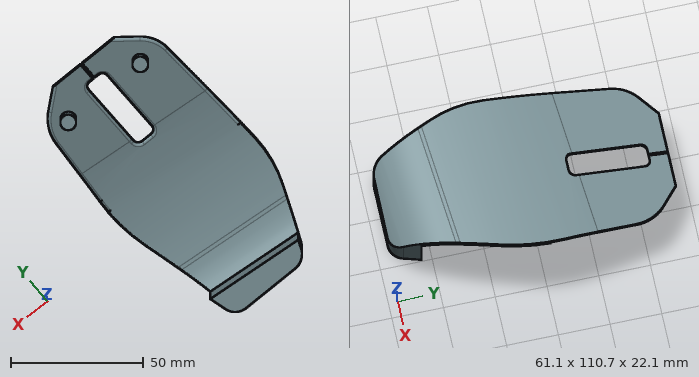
import cadquery as cq
import math

LENGTH = 110.65
HEIGHT = 22.09
SKEW = 5.0

RIGHT_SHOULDER_X = 26.9
OUTLINE_CORNERS = [
    (-16.1, LENGTH, 0),
    (-28.3, 100.6, 14.0),
    (-32.0, 35.0, 50.0),
    (-18.5, 0, 7.0),
    (15.2, 0, 6.5),
    (30.3, 51.6, 69.0),
    (RIGHT_SHOULDER_X, 99.6, 17.0),
    (13.9, LENGTH, 0),
]

THICKNESS = 2.0
REAR_SLOPE = 12.0
REAR_FOLD = 74.6
CROWN_RADIUS = 157.0
FLAT_START = 23.3
FLAT_WIDTH = 1.5
NOSE_RADIUS = 34.8
NOSE_END_SLOPE = 52.0
REAR_OVERRUN = 10.0
FOOT_BACK = 9.7

SLOT_WIDTH = 9.0
SLOT_FRONT = 71.8
SLOT_REAR = 103.1
SLOT_CORNER_RADIUS = 2.4
SLIT_WIDTH = 0.7
PIN_DIAMETER = 6.0
PIN_X = 17.6
PIN_Y = 97.0
PIN_BOTTOM = 5.7

EDGE_RADIUS = 1.2
EDGE_ROUND_START = 56.0


def point_on_arc(centre, radius, slope):
    """Point of an arc where the surface falls rearward by the slope in degrees."""
    angle = math.radians(slope)
    return (centre[0] + radius * math.sin(angle), centre[1] + radius * math.cos(angle))


def outline_prism():
    """Vertical prism of the outline, with rounded corners."""
    corners = [(x, y) for x, y, _ in OUTLINE_CORNERS]
    prism = cq.Workplane("XY").polyline(corners).close().extrude(HEIGHT)
    for x, y, radius in OUTLINE_CORNERS:
        if radius > 0:
            corner_edge = cq.selectors.NearestToPointSelector((x, y, HEIGHT / 2))
            prism = prism.edges("|Z").edges(corner_edge).fillet(radius)
    return prism


def bent_body():
    """Bent plate and solid foot, extruded along the bend axis."""
    rear_angle = math.radians(REAR_SLOPE)
    crown_apex = REAR_FOLD - CROWN_RADIUS * math.sin(rear_angle)
    crown_centre = (crown_apex, HEIGHT - CROWN_RADIUS)
    flat_slope = -math.degrees(math.asin((crown_apex - FLAT_START) / CROWN_RADIUS))
    strip_angle = math.radians(flat_slope)

    strip_rear = point_on_arc(crown_centre, CROWN_RADIUS, flat_slope)
    strip_front = (
        strip_rear[0] - FLAT_WIDTH * math.cos(strip_angle),
        strip_rear[1] + FLAT_WIDTH * math.sin(strip_angle),
    )
    nose_centre = point_on_arc(strip_front, -NOSE_RADIUS, flat_slope)

    rear_run = LENGTH + REAR_OVERRUN - REAR_FOLD
    rear_drop = rear_run * math.tan(rear_angle)
    fold_top = point_on_arc(crown_centre, CROWN_RADIUS, REAR_SLOPE)

    crown_inner = CROWN_RADIUS - THICKNESS
    nose_inner = NOSE_RADIUS - THICKNESS
    fold_bottom = point_on_arc(crown_centre, crown_inner, REAR_SLOPE)
    foot_slope = math.degrees(math.asin((FOOT_BACK - nose_centre[0]) / nose_inner))
    crown_middle = (REAR_SLOPE + flat_slope) / 2
    nose_tip = point_on_arc(nose_centre, NOSE_RADIUS, -NOSE_END_SLOPE)

    skew = math.radians(SKEW)
    profile_plane = cq.Plane(
        origin=(0, 0, 0),
        xDir=(-math.sin(skew), math.cos(skew), 0),
        normal=(math.cos(skew), math.sin(skew), 0),
    )
    profile = (
        cq.Workplane(profile_plane)
        .moveTo(nose_tip[0], 0)
        .lineTo(*nose_tip)
        .threePointArc(
            point_on_arc(nose_centre, NOSE_RADIUS, (flat_slope - NOSE_END_SLOPE) / 2),
            strip_front,
        )
        .lineTo(*strip_rear)
        .threePointArc(point_on_arc(crown_centre, CROWN_RADIUS, crown_middle), fold_top)
        .lineTo(fold_top[0] + rear_run, fold_top[1] - rear_drop)
        .lineTo(fold_bottom[0] + rear_run, fold_bottom[1] - rear_drop)
        .lineTo(*fold_bottom)
        .threePointArc(
            point_on_arc(crown_centre, crown_inner, crown_middle),
            point_on_arc(crown_centre, crown_inner, flat_slope),
        )
        .lineTo(*point_on_arc(nose_centre, nose_inner, flat_slope))
        .threePointArc(
            point_on_arc(nose_centre, nose_inner, (flat_slope + foot_slope) / 2),
            point_on_arc(nose_centre, nose_inner, foot_slope),
        )
        .lineTo(FOOT_BACK, 0)
        .close()
    )
    return profile.extrude(LENGTH / 2, both=True)


def slot():
    """Rounded slot through the rear part."""
    return (
        cq.Workplane("XY")
        .center(0, (SLOT_FRONT + SLOT_REAR) / 2)
        .rect(SLOT_WIDTH, SLOT_REAR - SLOT_FRONT)
        .extrude(HEIGHT)
        .edges("|Z")
        .fillet(SLOT_CORNER_RADIUS)
    )


def slit():
    """Narrow slit that joins the slot to the rear edge."""
    slit_start = (SLOT_FRONT + SLOT_REAR) / 2
    slit_length = LENGTH - slit_start
    return (
        cq.Workplane("XY")
        .center(0, slit_start + slit_length / 2)
        .rect(SLIT_WIDTH, slit_length)
        .extrude(HEIGHT)
    )


def mid_plate_height(x, y):
    """Height of the middle of the plate on its flat rear part."""
    skew = math.radians(SKEW)
    rear_angle = math.radians(REAR_SLOPE)
    along = y * math.cos(skew) - x * math.sin(skew)
    fold_height = HEIGHT - CROWN_RADIUS * (1 - math.cos(rear_angle))
    top = fold_height - (along - REAR_FOLD) * math.tan(rear_angle)
    return top - THICKNESS / math.cos(rear_angle) / 2


def pin(x, y):
    """Round pin hanging from the flat rear part, with its top inside the plate."""
    return (
        cq.Workplane("XY", origin=(x, y, PIN_BOTTOM))
        .circle(PIN_DIAMETER / 2)
        .extrude(mid_plate_height(x, y) - PIN_BOTTOM)
    )


def rear_half_space():
    """Block behind the skewed plane where the rounded underside edges start."""
    return (
        cq.Workplane("XY")
        .rect(2 * LENGTH, LENGTH)
        .extrude(HEIGHT)
        .translate((0, EDGE_ROUND_START + LENGTH / 2, 0))
        .rotate((0, 0, 0), (0, 0, 1), SKEW)
    )


def round_underside(rear_part):
    """Round the side and slot edges of the underside; the rear edge stays sharp."""
    y = (SLOT_FRONT + SLOT_REAR) / 2
    underside_drop = THICKNESS / 2
    for x in (-RIGHT_SHOULDER_X, SLOT_WIDTH / 2, RIGHT_SHOULDER_X):
        underside_edge = cq.selectors.NearestToPointSelector(
            (x, y, mid_plate_height(x, y) - underside_drop)
        )
        rear_part = rear_part.edges(underside_edge).fillet(EDGE_RADIUS)
    return rear_part


body = outline_prism().intersect(bent_body()).cut(slot())
rear_block = rear_half_space()
front_part = body.cut(rear_block)
rear_part = round_underside(body.intersect(rear_block))
result = front_part.union(rear_part).cut(slit())
for pin_x in (-PIN_X, PIN_X):
    result = result.union(pin(pin_x, PIN_Y))